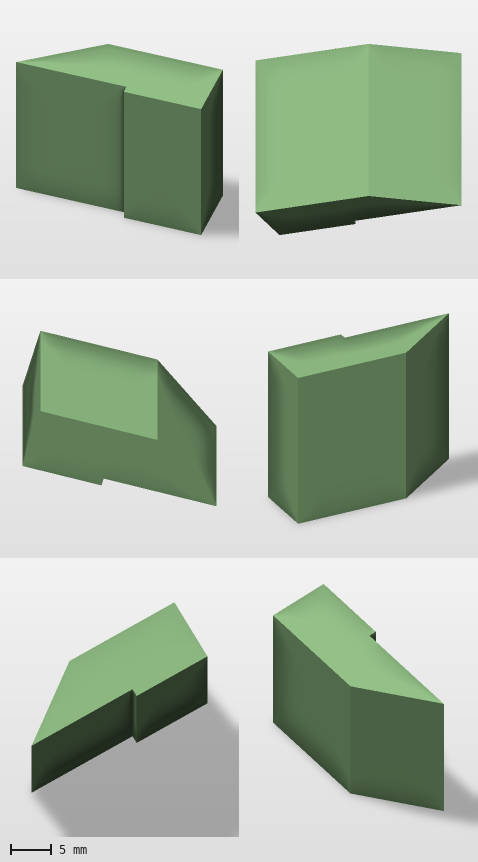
import cadquery as cq

length = 24.3
depth = 8.0
height = 20.0

pad_width = 10.0
pad_thickness = 1.0

back_width = 14.85

profile = [
    (0, pad_thickness),
    (length - pad_width, pad_thickness),
    (length - pad_width, 0),
    (length, 0),
    (length, depth),
    (length - back_width, depth),
]

result = cq.Workplane("XY").polyline(profile).close().extrude(height)